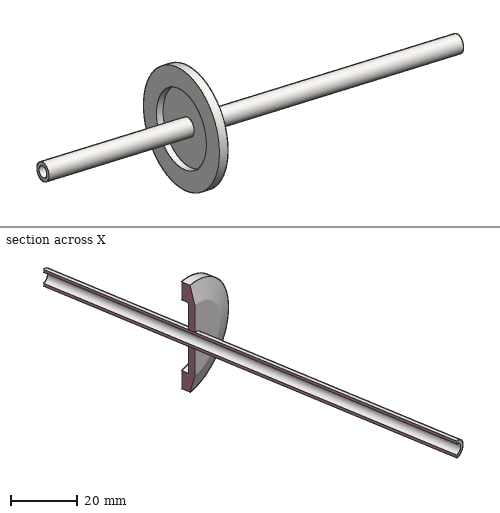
import cadquery as cq

tube_length = 152.4
tube_diameter = 6.4
tube_bore = 4.0

flange_diameter = 40.0
flange_thickness = 5.0
rim_width = 3.2
back_diameter = 26.2
recess_diameter = 26.2
recess_depth = 2.5
front_stub_length = 50.9

tube_front = -tube_length / 2
flange_front = tube_front + front_stub_length
flange_back = flange_front + flange_thickness
rim_back = flange_front + rim_width
recess_floor = flange_front + recess_depth


def make_tube():
    """Plain open tube, passing right through the flange."""
    return (
        cq.Workplane("XZ", origin=(0, tube_front, 0))
        .circle(tube_diameter / 2)
        .circle(tube_bore / 2)
        .extrude(-tube_length)
    )


def make_flange():
    """Half section (radius, Y) revolved about Y, with a hole that fits the tube."""
    half_section = [
        (tube_diameter / 2, recess_floor),
        (recess_diameter / 2, recess_floor),
        (recess_diameter / 2, flange_front),
        (flange_diameter / 2, flange_front),
        (flange_diameter / 2, rim_back),
        (back_diameter / 2, flange_back),
        (tube_diameter / 2, flange_back),
    ]
    return cq.Workplane("XY").polyline(half_section).close().revolve(360, (0, 0, 0), (0, 1, 0))


tube = make_tube()
flange = make_flange()

result = cq.Compound.makeCompound([tube.val(), flange.val()])